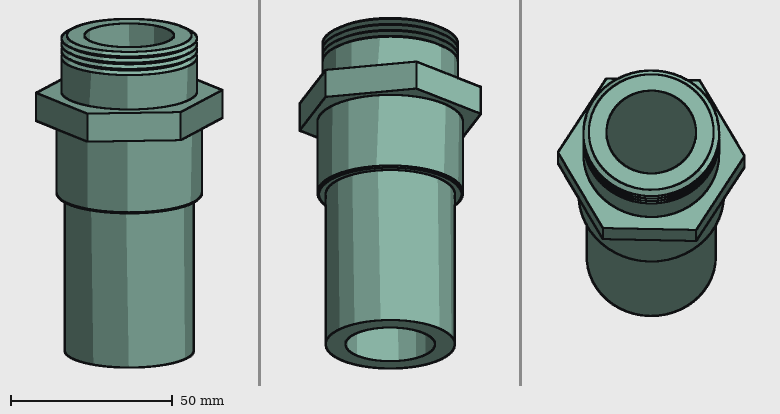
import cadquery as cq
import math

total_height = 101.0
collar_bottom = 50.0
hex_bottom = 74.0
hex_height = 9.0

bore_radius = 13.8
tube_radius = 20.0
collar_radius = 22.5
collar_chamfer = 0.5
neck_radius = 21.0
thread_depth = 1.7

hex_sides = 6
hex_across_flats = 50.0
hex_turn = 30

thread_length = 7.0
crest_count = 3
thread_pitch = thread_length / (crest_count + 0.5)


def cylinder(radius, bottom, top):
    return cq.Workplane("XY").workplane(offset=bottom).circle(radius).extrude(top - bottom)


def make_hex():
    corner_diameter = hex_across_flats / math.cos(math.pi / hex_sides)
    return (
        cq.Workplane("XY", origin=(0, 0, hex_bottom))
        .transformed(rotate=(0, 0, hex_turn))
        .polygon(hex_sides, corner_diameter)
        .extrude(hex_height)
    )


def make_threaded_neck():
    """Revolve the neck, with V-shaped rings from its shoulder to the top face."""
    root_radius = neck_radius - thread_depth
    half_pitch = thread_pitch / 2
    shoulder = total_height - thread_length

    outline = [(0, hex_bottom), (neck_radius, hex_bottom), (neck_radius, shoulder)]
    for ring in range(crest_count):
        root_height = shoulder + half_pitch + ring * thread_pitch
        outline.append((root_radius, root_height))
        outline.append((neck_radius, root_height + half_pitch))
    outline.append((root_radius, total_height))
    outline.append((0, total_height))
    return cq.Workplane("XZ").polyline(outline).close().revolve(360, (0, 0), (0, 1))


tube = cylinder(tube_radius, 0, hex_bottom)
collar = cylinder(collar_radius, collar_bottom, hex_bottom).faces("<Z").chamfer(collar_chamfer)
bore = cylinder(bore_radius, 0, total_height)

result = tube.union(collar).union(make_hex()).union(make_threaded_neck()).cut(bore)